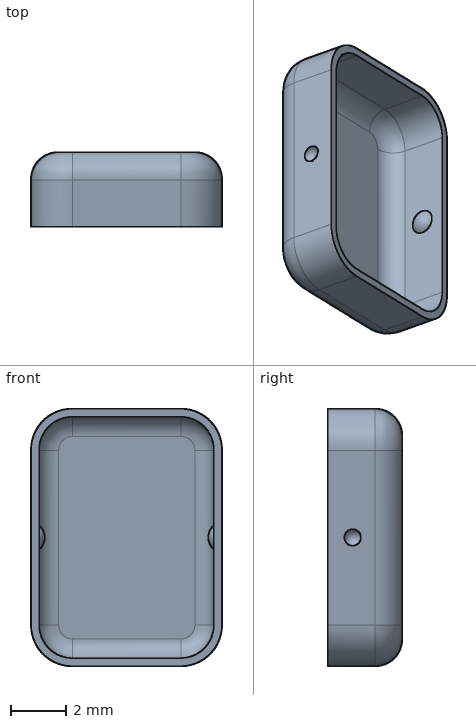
import cadquery as cq
import math

width = 6.9
depth = 2.7
height = 9.3

wall = 0.3
corner_radius = 1.5
back_edge_radius = 0.995

dimple_setback = 0.9
dent_radius = 0.3
dent_depth = 0.23
bump_radius = 0.44
bump_height = 0.2

rim_y = -depth / 2
dimple_y = rim_y + dimple_setback


def rounded_block(inset, back_y):
    """Rounded block from the rim to back_y, set in from the outer outline."""
    return (
        cq.Workplane("XZ", origin=(0, rim_y, 0))
        .rect(width - 2 * inset, height - 2 * inset)
        .extrude(rim_y - back_y)
        .edges("|Y")
        .fillet(corner_radius - inset)
        .faces(">Y")
        .edges()
        .fillet(back_edge_radius - inset)
    )


def dome(base_x, base_radius, rise):
    """Spherical cap on the right side, based on the plane x = base_x and rising inward by rise."""
    sphere_radius = (base_radius**2 + rise**2) / (2 * rise)
    sphere_x = base_x - rise + sphere_radius
    half_angle = math.asin(base_radius / sphere_radius) / 2
    arc_middle = (
        sphere_x - sphere_radius * math.cos(half_angle),
        sphere_radius * math.sin(half_angle),
    )
    return (
        cq.Workplane("XY", origin=(0, dimple_y, 0))
        .moveTo(base_x, 0)
        .lineTo(base_x, base_radius)
        .threePointArc(arc_middle, (base_x - rise, 0))
        .close()
        .revolve(360, (0, 0), (1, 0))
    )


right_bump = dome(width / 2 - wall, bump_radius, bump_height)
right_dent = dome(width / 2, dent_radius, dent_depth)

cavity = rounded_block(wall, depth / 2 - wall)
cavity = cavity.cut(right_bump).cut(right_bump.mirror("YZ"))
result = rounded_block(0, depth / 2).cut(cavity)
result = result.cut(right_dent).cut(right_dent.mirror("YZ"))